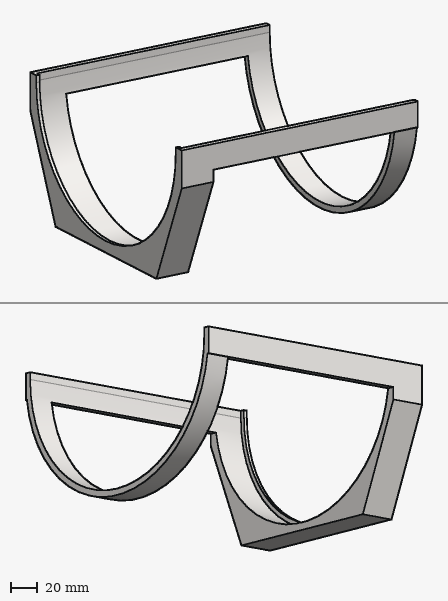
import cadquery as cq

width = 210.5
length = 208.0
height = 111.5
axis_below_top = 5.5

bore_radius = 100.2
lip_radius = 96.7
lip_thickness = 3.0

ring_thickness = 20.0
ring_radius = width / 2
block_thickness = 28.0
block_side_height = 30.0
block_base_width = 140.0
rail_height = 20.5

top_z = axis_below_top
bottom_z = top_z - height
front_y = -length / 2
rear_y = length / 2


def profile_plane(y):
    """XZ workplane at the given y; negative extrusion runs toward +Y."""
    return cq.Workplane(cq.Plane(origin=(0, y, 0), xDir=(1, 0, 0), normal=(0, -1, 0)))


def trough(radius, y_start, y_end):
    """U-shaped solid: half cylinder with straight walls up to the top plane."""
    return (
        profile_plane(y_start)
        .moveTo(-radius, top_z)
        .lineTo(-radius, 0)
        .threePointArc((0, -radius), (radius, 0))
        .lineTo(radius, top_z)
        .close()
        .extrude(y_start - y_end)
    )


def front_block():
    """Front support with upright sides tapering to a flat base."""
    shoulder_z = top_z - block_side_height
    return (
        profile_plane(front_y)
        .moveTo(-width / 2, top_z)
        .lineTo(-width / 2, shoulder_z)
        .lineTo(-block_base_width / 2, bottom_z)
        .lineTo(block_base_width / 2, bottom_z)
        .lineTo(width / 2, shoulder_z)
        .lineTo(width / 2, top_z)
        .close()
        .extrude(-block_thickness)
    )


def rail_slab():
    """Full-width slab whose two edges remain as side rails after boring."""
    return cq.Workplane("XY", origin=(0, 0, top_z - rail_height)).box(
        width, length, rail_height, centered=(True, True, False)
    )


rear_ring = trough(ring_radius, rear_y - ring_thickness, rear_y)
body = front_block().union(rear_ring).union(rail_slab())

main_bore = trough(bore_radius, front_y + lip_thickness, rear_y)
lip_bore = trough(lip_radius, front_y, rear_y)
result = body.cut(main_bore).cut(lip_bore)